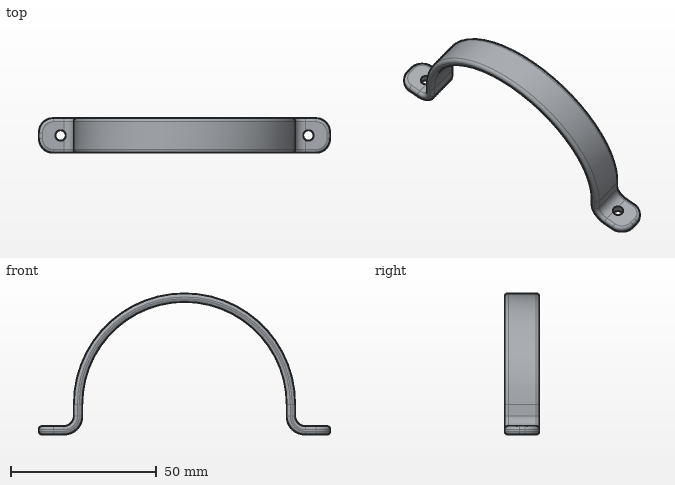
import cadquery as cq
import math

length = 100.0
width = 12.0
height = 48.5
thickness = 3.0

arch_outer_radius = 38.0
bend_inner_radius = 3.4
tab_corner_radius = 5.0
edge_radius = 1.2

hole_diameter = 3.5
hole_spacing = 85.0

arch_inner_radius = arch_outer_radius - thickness
arch_center_z = height - arch_outer_radius
bend_outer_radius = bend_inner_radius + thickness
bend_center_x = arch_inner_radius + bend_outer_radius
bend_center_z = bend_outer_radius
half_length = length / 2


def bend_middle(side, radius):
    """Midpoint of a bend arc on the given side (-1 left, +1 right)."""
    reach = radius * math.sqrt(0.5)
    return side * (bend_center_x - reach), bend_center_z - reach


def make_strap():
    """Constant-thickness strap: two tabs, two bends and a half-round arch."""
    return (
        cq.Workplane("XZ")
        .moveTo(-half_length, 0)
        .lineTo(-bend_center_x, 0)
        .threePointArc(bend_middle(-1, bend_outer_radius), (-arch_inner_radius, bend_center_z))
        .lineTo(-arch_inner_radius, arch_center_z)
        .threePointArc((0, height - thickness), (arch_inner_radius, arch_center_z))
        .lineTo(arch_inner_radius, bend_center_z)
        .threePointArc(bend_middle(1, bend_outer_radius), (bend_center_x, 0))
        .lineTo(half_length, 0)
        .lineTo(half_length, thickness)
        .lineTo(bend_center_x, thickness)
        .threePointArc(bend_middle(1, bend_inner_radius), (arch_outer_radius, bend_center_z))
        .lineTo(arch_outer_radius, arch_center_z)
        .threePointArc((0, height), (-arch_outer_radius, arch_center_z))
        .lineTo(-arch_outer_radius, bend_center_z)
        .threePointArc(bend_middle(-1, bend_inner_radius), (-bend_center_x, thickness))
        .lineTo(-half_length, thickness)
        .close()
        .extrude(width / 2, both=True)
    )


def round_edges(strap):
    """Round the tab corners in plan, then both rims all the way around."""
    rounded = strap.faces("<X or >X").edges("|Z").fillet(tab_corner_radius)
    return rounded.faces("<Y or >Y").edges().fillet(edge_radius)


def make_holes():
    """Vertical cutters for one screw hole in each tab."""
    return (
        cq.Workplane("XY")
        .pushPoints([(-hole_spacing / 2, 0), (hole_spacing / 2, 0)])
        .circle(hole_diameter / 2)
        .extrude(2 * thickness)
    )


result = round_edges(make_strap()).cut(make_holes())